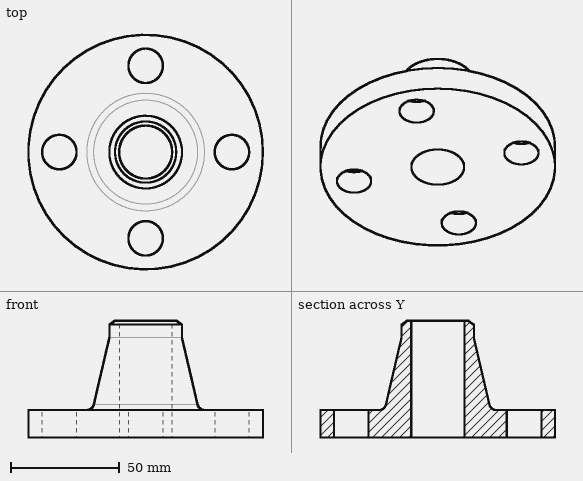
import cadquery as cq

flange_diameter = 107.9
flange_thickness = 12.7
total_height = 53.9

bolt_circle_diameter = 79.3
bolt_hole_diameter = 15.8
bolt_hole_count = 4

hub_base_diameter = 49.0
hub_fillet_radius = 3.2
neck_diameter = 33.5
neck_length = 7.9
bore_diameter = 24.3

bevel_height = 1.9
bevel_land = 1.9

neck_start = total_height - neck_length
bevel_start = total_height - bevel_height
bevel_top_diameter = bore_diameter + 2 * bevel_land


def flange_plate():
    """Round plate standing on the XY plane."""
    return cq.Workplane("XY").circle(flange_diameter / 2).extrude(flange_thickness)


def hub():
    """Tapered hub, straight neck and weld bevel, revolved about Z."""
    profile = [
        (0, 0),
        (hub_base_diameter / 2, 0),
        (hub_base_diameter / 2, flange_thickness),
        (neck_diameter / 2, neck_start),
        (neck_diameter / 2, bevel_start),
        (bevel_top_diameter / 2, total_height),
        (0, total_height),
    ]
    return cq.Workplane("XZ").polyline(profile).close().revolve(360, (0, 0), (0, 1))


def hub_root_edge():
    """Selects the circle where the hub meets the top of the plate."""
    slack = 0.1
    reach = hub_base_diameter / 2 + slack
    return cq.selectors.BoxSelector(
        (-reach, -reach, flange_thickness - slack),
        (reach, reach, flange_thickness + slack),
        boundingbox=True,
    )


body = flange_plate().union(hub())
body = body.edges(hub_root_edge()).fillet(hub_fillet_radius)

bore = cq.Workplane("XY").circle(bore_diameter / 2).extrude(total_height)

bolt_holes = (
    cq.Workplane("XY")
    .polarArray(bolt_circle_diameter / 2, 0, 360, bolt_hole_count)
    .circle(bolt_hole_diameter / 2)
    .extrude(flange_thickness)
)

result = body.cut(bore).cut(bolt_holes)